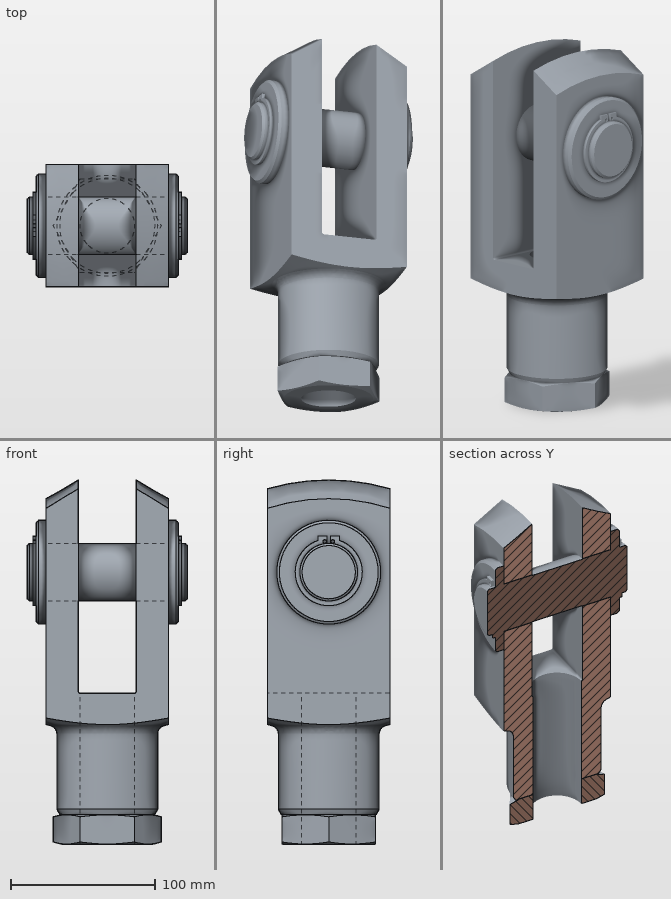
import cadquery as cq
import math

total_height = 253.0
fork_width = 85.0
pin_length = 111.0

slot_width = 40.0
slot_floor_z = 105.0
slot_corner_radius = 1.3
crown_radius = 151.8
crown_slope = 30.0
neck_diameter = 70.0
neck_chamfer = 3.5
neck_chamfer_inset = 2.0
shoulder_z = 83.2
shoulder_slope = 14.5
shoulder_fillet = 5.5
thread_bore = 38.0

nut_height = 21.0
nut_across_flats = 65.0
nut_chamfer_slope = 15.0
nut_chamfer_diameter = 62.0

pin_z = 189.0
pin_diameter = 40.0
pin_chamfer = 1.5
collar_diameter = 72.0
collar_thickness = 6.8
collar_chamfer = 1.8
ring_diameter = 46.5
ring_thickness = 2.3
lug_top = 25.0
lug_half_width = 7.3
lug_gap = 2.3
lug_hole_diameter = 2.5
lug_hole_offset = 2.8
lug_hole_height = 21.3

half_width = fork_width / 2
neck_radius = neck_diameter / 2
ring_start = half_width + collar_thickness
corner_radius = half_width * math.sqrt(2)


def x_cylinder(diameter, start, length, y=0.0, z=pin_z):
    """Cylinder along +X from the plane X = start."""
    return cq.Workplane("YZ", origin=(start, y, z)).circle(diameter / 2).extrude(length)


def make_crown_envelope():
    """Two cones about a common X axis, meeting the slot walls at full height."""
    slope = math.tan(math.radians(crown_slope))
    slot_side = slot_width / 2
    outer_radius = crown_radius - (half_width - slot_side) * slope
    axis_z = total_height - crown_radius
    return (
        cq.Workplane("XZ", origin=(0, 0, axis_z))
        .moveTo(-half_width, 0)
        .lineTo(-half_width, outer_radius)
        .lineTo(-slot_side, crown_radius)
        .lineTo(slot_side, crown_radius)
        .lineTo(half_width, outer_radius)
        .lineTo(half_width, 0)
        .close()
        .revolve(360, (0, 0, 0), (1, 0, 0))
    )


def make_shank_envelope():
    """Turned neck and conical shoulder, tall enough to enclose the whole fork."""
    slope = math.tan(math.radians(shoulder_slope))
    envelope_radius = corner_radius + 2.5
    neck_top_z = shoulder_z - (half_width - neck_radius) * slope
    rim_z = shoulder_z + (envelope_radius - half_width) * slope
    shank = (
        cq.Workplane("XZ")
        .moveTo(0, nut_height)
        .lineTo(neck_radius - neck_chamfer_inset, nut_height)
        .lineTo(neck_radius, nut_height + neck_chamfer)
        .lineTo(neck_radius, neck_top_z)
        .lineTo(envelope_radius, rim_z)
        .lineTo(envelope_radius, total_height)
        .lineTo(0, total_height)
        .close()
        .revolve(360, (0, 0, 0), (0, 1, 0))
    )
    neck_top_edge = cq.selectors.NearestToPointSelector((0, 0, neck_top_z))
    return shank.edges(neck_top_edge).fillet(shoulder_fillet)


def make_fork():
    block = cq.Workplane("XY", origin=(0, 0, nut_height)).rect(fork_width, fork_width)
    block = block.extrude(total_height - nut_height)
    slot = (
        cq.Workplane("XY", origin=(0, 0, slot_floor_z))
        .rect(slot_width, fork_width)
        .extrude(total_height - slot_floor_z)
        .edges("|Y and <Z")
        .fillet(slot_corner_radius)
    )
    bore = cq.Workplane("XY").circle(thread_bore / 2).extrude(total_height / 2)
    pin_hole = x_cylinder(pin_diameter, -half_width, fork_width)
    fork = block.intersect(make_shank_envelope()).intersect(make_crown_envelope())
    return fork.cut(slot).cut(bore).cut(pin_hole)


def make_nut():
    """Hexagon with corners on the X axis, both ends bevelled by a cone."""
    across_corners = nut_across_flats / math.cos(math.pi / 6)
    bevel_radius = nut_chamfer_diameter / 2
    bevel_height = (across_corners / 2 - bevel_radius) * math.tan(math.radians(nut_chamfer_slope))
    hexagon = cq.Workplane("XY").polygon(6, across_corners).extrude(nut_height)
    envelope = (
        cq.Workplane("XZ")
        .moveTo(0, 0)
        .lineTo(bevel_radius, 0)
        .lineTo(across_corners / 2, bevel_height)
        .lineTo(across_corners / 2, nut_height - bevel_height)
        .lineTo(bevel_radius, nut_height)
        .lineTo(0, nut_height)
        .close()
        .revolve(360, (0, 0, 0), (0, 1, 0))
    )
    bore = cq.Workplane("XY").circle(thread_bore / 2).extrude(nut_height)
    return hexagon.intersect(envelope).cut(bore)


def make_retaining_ring():
    """Ring on the +X side with two drilled lugs separated by a gap above the pin."""
    ring = x_cylinder(ring_diameter, ring_start, ring_thickness)
    lugs = (
        cq.Workplane("YZ", origin=(ring_start, 0, pin_z + lug_top / 2))
        .rect(2 * lug_half_width, lug_top)
        .extrude(ring_thickness)
    )
    gap = (
        cq.Workplane("YZ", origin=(ring_start, 0, pin_z + lug_top / 2))
        .rect(lug_gap, lug_top)
        .extrude(ring_thickness)
    )
    ring = ring.union(lugs).cut(gap)
    for side in (-1, 1):
        hole = x_cylinder(
            lug_hole_diameter, ring_start, ring_thickness,
            side * lug_hole_offset, pin_z + lug_hole_height,
        )
        ring = ring.cut(hole)
    return ring


def make_pin():
    """Pin with a collar and a retaining ring at each end."""
    pin = x_cylinder(pin_diameter, -pin_length / 2, pin_length).faces("<X or >X").chamfer(pin_chamfer)
    collar = x_cylinder(collar_diameter, half_width, collar_thickness).faces(">X").chamfer(collar_chamfer)
    end_parts = collar.union(make_retaining_ring())
    return pin.union(end_parts).union(end_parts.mirror("YZ"))


fork = make_fork()
nut = make_nut()
pin = make_pin()

result = cq.Compound.makeCompound([fork.solids().val(), nut.solids().val(), pin.solids().val()])